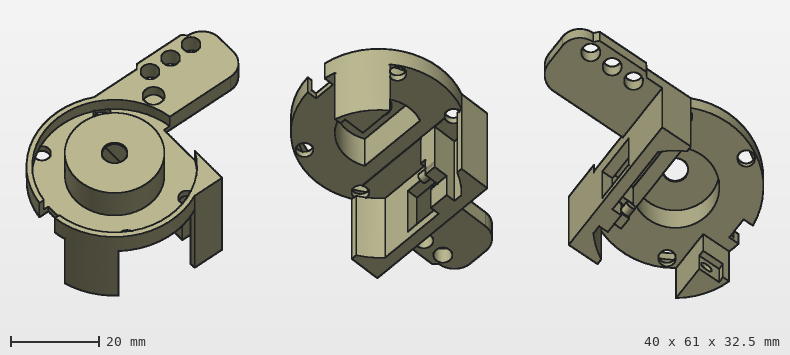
import cadquery as cq
import math

TOTAL_HEIGHT = 32.5
RIM_TOP = 27.5
PLATE_BOTTOM = 22.0
DISH_FLOOR = 23.9
ARM_BOTTOM = 22.35

DISC_RADIUS = 20.0
DISH_RADIUS = 18.7
HUB_DIAMETER = 22.6
HUB_BORE_DIAMETER = 5.8
HUB_CAVITY_DIAMETER = 20.0
HUB_CAVITY_FLAT_Y = 4.25
HUB_ROOF = 0.6
NOTCH_LEFT_X = -2.7
NOTCH_RIGHT_X = 2.8
NOTCH_BACK_Y = -17.2
PLATE_HOLE_DIAMETER = 4.0
PLATE_HOLE_X = 15.25
PLATE_HOLE_Y = 8.8

FRAME_HALF_WIDTH = 18.0
FRAME_FRONT_Y = math.sqrt(DISC_RADIUS**2 - FRAME_HALF_WIDTH**2)
FRAME_BACK_Y = 16.8
PANEL_THICKNESS = 2.85
PANEL_FRONT_Y = FRAME_BACK_Y - PANEL_THICKNESS
WINDOW_HALF_WIDTH = 5.05
WINDOW_BOTTOM = 2.75
WINDOW_TOP = 17.7
PAD_HALF_WIDTH = 15.3
PAD_THICKNESS = 0.15

RECESS_DEPTH = 1.5
RECESS_TOP = 12.5

POST_LEFT_X = WINDOW_HALF_WIDTH
POST_RIGHT_X = 10.2
POST_FRONT_Y = 11.5
BRACKET_LEFT_X = 5.6
BRACKET_FRONT_Y = 7.75
BRACKET_BOTTOM = 7.0
PIN_DIAMETER = 2.5
PIN_Y = 8.95
PIN_Z = 8.75
PIN_TIP_X = 4.8

LEG_LEFT_X = BRACKET_LEFT_X
LEG_BACK_Y = -11.9
LEG_BOTTOM = 5.0
RECESS_FRONT_Y = -17.45
DIMPLE_DIAMETER = 3.0
DIMPLE_DEPTH = 2.2
DIMPLE_Y = -13.9

ARM_LEFT_X = -FRAME_HALF_WIDTH
ARM_RIGHT_X = -2.85
ARM_END_Y = 41.23
ARM_CORNER_RADIUS = 5.0
EDGE_PAD_HEIGHT = 1.1
EDGE_PAD_START_Y = 21.1
EDGE_PAD_END_Y = 36.15
EDGE_PAD_CHAMFER = 1.0
ARM_HOLE_DIAMETER = 4.3
ARM_HOLE_X = -15.55
ARM_HOLE_Y = 23.05
ARM_HOLE_PITCH = 6.0
ARM_HOLE_COUNT = 3
BLIND_HOLE_DIAMETER = 5.0
BLIND_HOLE_DEPTH = 3.0
BLIND_HOLE_X = -9.75
BLIND_HOLE_Y = 19.35


def box(x0, x1, y0, y1, z0, z1):
    """Box given by its limits along each axis."""
    return cq.Workplane("XY").box(x1 - x0, y1 - y0, z1 - z0, centered=False).translate((x0, y0, z0))


def cylinder(diameter, z0, z1, x=0, y=0):
    """Upright cylinder between two heights."""
    return cq.Workplane("XY").circle(diameter / 2).extrude(z1 - z0).translate((x, y, z0))


def make_arm():
    arm = box(ARM_LEFT_X, ARM_RIGHT_X, FRAME_FRONT_Y, ARM_END_Y, ARM_BOTTOM, RIM_TOP)
    arm = arm.edges("|Z and >Y").fillet(ARM_CORNER_RADIUS)
    outer_x = ARM_LEFT_X - EDGE_PAD_HEIGHT
    edge_pad = (
        cq.Workplane("XY")
        .workplane(offset=ARM_BOTTOM)
        .moveTo(ARM_RIGHT_X, EDGE_PAD_START_Y)
        .lineTo(ARM_LEFT_X, EDGE_PAD_START_Y)
        .lineTo(outer_x, EDGE_PAD_START_Y + EDGE_PAD_CHAMFER)
        .lineTo(outer_x, EDGE_PAD_END_Y - EDGE_PAD_CHAMFER)
        .lineTo(ARM_LEFT_X, EDGE_PAD_END_Y)
        .lineTo(ARM_RIGHT_X, EDGE_PAD_END_Y)
        .close()
        .extrude(RIM_TOP - ARM_BOTTOM)
    )
    return arm.union(edge_pad)


def cut_arm_holes(body):
    for i in range(ARM_HOLE_COUNT):
        y = ARM_HOLE_Y + i * ARM_HOLE_PITCH
        body = body.cut(cylinder(ARM_HOLE_DIAMETER, ARM_BOTTOM, RIM_TOP, ARM_HOLE_X, y))
    floor = RIM_TOP - BLIND_HOLE_DEPTH
    return body.cut(cylinder(BLIND_HOLE_DIAMETER, floor, RIM_TOP, BLIND_HOLE_X, BLIND_HOLE_Y))


def make_frame():
    frame = box(-FRAME_HALF_WIDTH, FRAME_HALF_WIDTH, FRAME_FRONT_Y, FRAME_BACK_Y, 0, RIM_TOP)
    hollow = cylinder(2 * DISH_RADIUS, 0, PLATE_BOTTOM).intersect(
        box(-DISC_RADIUS, DISC_RADIUS, 0, PANEL_FRONT_Y, 0, PLATE_BOTTOM)
    )
    window = box(
        -WINDOW_HALF_WIDTH, WINDOW_HALF_WIDTH, PANEL_FRONT_Y, FRAME_BACK_Y, WINDOW_BOTTOM, WINDOW_TOP
    )
    return frame.cut(hollow).cut(window)


def make_pad():
    """Thin thickening under the plate, in front of the back panel."""
    return box(
        -PAD_HALF_WIDTH, PAD_HALF_WIDTH, BRACKET_FRONT_Y, FRAME_BACK_Y,
        PLATE_BOTTOM - PAD_THICKNESS, PLATE_BOTTOM,
    )


def make_post():
    return box(POST_LEFT_X, POST_RIGHT_X, POST_FRONT_Y, FRAME_BACK_Y, 0, BRACKET_BOTTOM)


def make_bracket():
    bracket = box(
        BRACKET_LEFT_X, POST_RIGHT_X, BRACKET_FRONT_Y, FRAME_BACK_Y, BRACKET_BOTTOM, PLATE_BOTTOM
    )
    recess_x = BRACKET_LEFT_X + RECESS_DEPTH
    recess = box(BRACKET_LEFT_X, recess_x, BRACKET_FRONT_Y, PANEL_FRONT_Y, BRACKET_BOTTOM, RECESS_TOP)
    pin = (
        cq.Workplane("YZ")
        .circle(PIN_DIAMETER / 2)
        .extrude(POST_RIGHT_X - PIN_TIP_X)
        .translate((PIN_TIP_X, PIN_Y, PIN_Z))
    )
    return bracket.cut(recess).union(pin)


def make_leg():
    leg = cylinder(2 * DISC_RADIUS, LEG_BOTTOM, PLATE_BOTTOM).intersect(
        box(LEG_LEFT_X, DISC_RADIUS, -DISC_RADIUS, LEG_BACK_Y, LEG_BOTTOM, PLATE_BOTTOM)
    )
    recess_x = LEG_LEFT_X + RECESS_DEPTH
    recess = box(LEG_LEFT_X, recess_x, RECESS_FRONT_Y, LEG_BACK_Y, LEG_BOTTOM, RECESS_TOP)
    dimple = cq.Workplane(
        cq.Solid.makeCone(
            DIMPLE_DIAMETER / 2, 0, DIMPLE_DEPTH,
            pnt=cq.Vector(recess_x, DIMPLE_Y, PIN_Z), dir=cq.Vector(1, 0, 0),
        )
    )
    return leg.cut(recess).cut(dimple)


def cut_plate_openings(body):
    for x in (-PLATE_HOLE_X, PLATE_HOLE_X):
        for y in (-PLATE_HOLE_Y, PLATE_HOLE_Y):
            hole = cylinder(PLATE_HOLE_DIAMETER, PLATE_BOTTOM - PAD_THICKNESS, DISH_FLOOR, x, y)
            body = body.cut(hole)
    notch = box(NOTCH_LEFT_X, NOTCH_RIGHT_X, -DISC_RADIUS, NOTCH_BACK_Y, PLATE_BOTTOM, RIM_TOP)
    return body.cut(notch)


def hollow_hub(body):
    """Bore the thin hub roof and open a D-shaped cavity below it."""
    cavity_top = TOTAL_HEIGHT - HUB_ROOF
    cavity_radius = HUB_CAVITY_DIAMETER / 2
    cavity = cylinder(HUB_CAVITY_DIAMETER, PLATE_BOTTOM, cavity_top).intersect(
        box(-cavity_radius, cavity_radius, -cavity_radius, HUB_CAVITY_FLAT_Y, PLATE_BOTTOM, cavity_top)
    )
    return body.cut(cavity).cut(cylinder(HUB_BORE_DIAMETER, PLATE_BOTTOM, TOTAL_HEIGHT))


disc = cylinder(2 * DISC_RADIUS, PLATE_BOTTOM, RIM_TOP).cut(
    box(-DISC_RADIUS, DISC_RADIUS, FRAME_BACK_Y, DISC_RADIUS, PLATE_BOTTOM, RIM_TOP)
)
body = disc.union(make_frame()).union(make_arm()).union(make_pad())
body = body.cut(cylinder(2 * DISH_RADIUS, DISH_FLOOR, RIM_TOP))
body = body.union(cylinder(HUB_DIAMETER, DISH_FLOOR, TOTAL_HEIGHT))
body = body.union(make_post()).union(make_bracket()).union(make_leg())
body = cut_plate_openings(body)
body = cut_arm_holes(body)
result = hollow_hub(body)